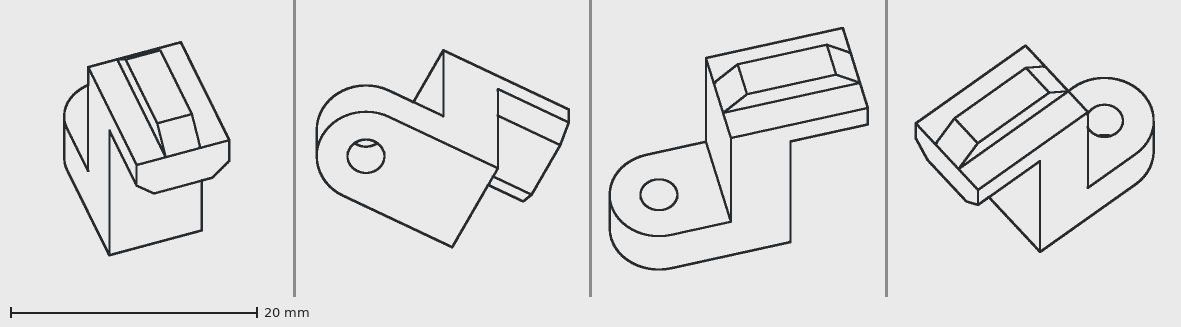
import cadquery as cq

length = 20.5
width = 8.02
height = 19.5

foot_height = 5.0
hole_diameter = 3.0
upright_start = 9.0
upright_end = 14.0

ridge_height = 2.0
ridge_width = 3.0
arm_top = height - ridge_height
arm_edge_bottom = 15.0
keel_depth = 1.5


def make_foot():
    """Flat foot with a full-round end and a vertical through hole."""
    radius = width / 2
    outline = (
        cq.Workplane("XY")
        .moveTo(upright_end, -radius)
        .lineTo(radius, -radius)
        .threePointArc((0, 0), (radius, radius))
        .lineTo(upright_end, radius)
        .close()
    )
    hole = cq.Workplane("XY").center(radius, 0).circle(hole_diameter / 2).extrude(foot_height)
    return outline.extrude(foot_height).cut(hole)


def make_upright():
    """Rectangular column joining the foot to the arm."""
    return cq.Workplane("XY").box(
        upright_end - upright_start, width, arm_top, centered=(False, True, False)
    ).translate((upright_start, 0, 0))


def make_arm():
    """Arm along X whose lower long edges are bevelled."""
    half_width = width / 2
    keel_bottom = arm_edge_bottom - keel_depth
    keel_half_width = half_width - keel_depth
    section = [
        (-half_width, arm_top),
        (-half_width, arm_edge_bottom),
        (-keel_half_width, keel_bottom),
        (keel_half_width, keel_bottom),
        (half_width, arm_edge_bottom),
        (half_width, arm_top),
    ]
    return (
        cq.Workplane("YZ", origin=(upright_start, 0, 0))
        .polyline(section)
        .close()
        .extrude(length - upright_start)
    )


def make_ridge():
    """Central ridge on the arm, sloped at 45 degrees at both ends."""
    profile = [
        (upright_start, arm_top),
        (upright_start + ridge_height, height),
        (length - ridge_height, height),
        (length, arm_top),
    ]
    return cq.Workplane("XZ").polyline(profile).close().extrude(ridge_width / 2, both=True)


result = make_foot().union(make_upright()).union(make_arm()).union(make_ridge())